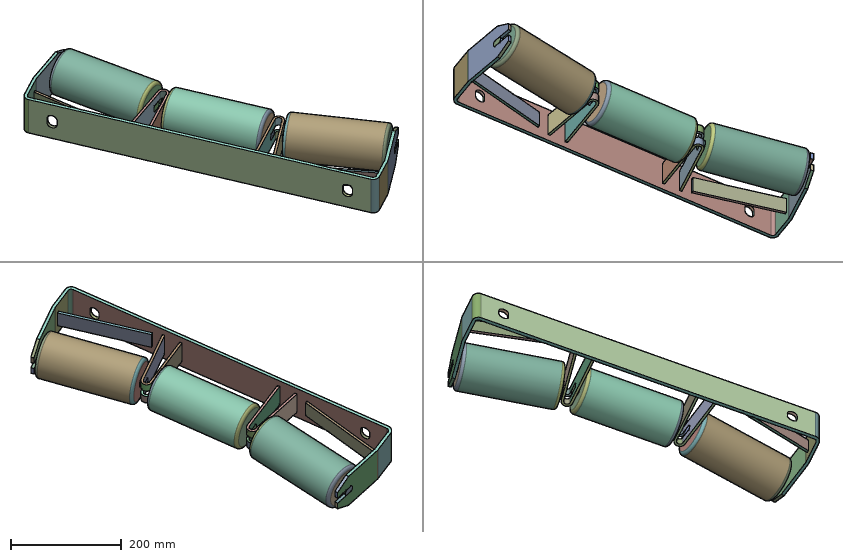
import cadquery as cq
import math

frame_length = 680.0
overall_depth = 179.5
frame_height = 80.0
wall_thickness = 6.0
bend_outer_radius = 12.0
tilt = 10.0

roller_diameter = 89.0
roller_length = 190.0
roller_edge_radius = 6.0
support_gap = 4.8
middle_roller_underside_y = 54.5

shaft_diameter = 20.0
shaft_flat_width = 14.0

bracket_thickness = 5.0
bracket_width = 50.0
arch_radius = 11.0
bracket_top_y = 125.0

end_plate_reach = 32.0
end_chamfer_length = 30.5
end_chamfer_angle = 30.0

brace_thickness = 5.0
brace_width = 35.5
brace_wall_y = 52.0
brace_tip_x = 161.0
brace_tip_y = 11.0

mounting_slot_x = 283.0
mounting_slot_width = 19.0
mounting_slot_height = 28.5

tilt_sin = math.sin(math.radians(tilt))
tilt_cos = math.cos(math.radians(tilt))
tilt_tan = math.tan(math.radians(tilt))

wall_outer_x = frame_length / 2
wall_inner_x = wall_outer_x - wall_thickness
bend_inner_radius = bend_outer_radius - wall_thickness

middle_roller_y = middle_roller_underside_y + roller_diameter / 2

edge_center_along = roller_length / 2 - roller_edge_radius
edge_center_across = roller_diameter / 2 - roller_edge_radius
side_roller_y = (
    overall_depth - roller_edge_radius - edge_center_along * tilt_sin - edge_center_across * tilt_cos
)

support_reach = roller_length / 2 + support_gap

arch_center_x = support_reach + arch_radius
arch_center_y = bracket_top_y - arch_radius
side_roller_x = arch_center_x + (
    support_reach + arch_radius - (side_roller_y - arch_center_y) * tilt_sin
) / tilt_cos


def extrude_about_middle(outline, height):
    """Extrude an outline of the XY plane equally to both sides of Z = 0."""
    return outline.extrude(height / 2, both=True)


def mirrored(body):
    """Copy of a body reflected to the other side of X = 0."""
    return body.mirror("YZ")


def side_roller_point(along, across):
    """XY position of a point given along and across the +X side roller's axis."""
    x = side_roller_x + along * tilt_cos - across * tilt_sin
    y = side_roller_y + along * tilt_sin + across * tilt_cos
    return (x, y)


def place_at_side_roller(body):
    """Tilt a body built along X at the origin and move it to the +X side roller."""
    return body.rotate((0, 0, 0), (0, 0, 1), tilt).translate((side_roller_x, side_roller_y, 0))


def make_round_bar(diameter, start_x, end_x):
    """Round bar along the X axis."""
    return cq.Workplane("YZ", origin=(start_x, 0, 0)).circle(diameter / 2).extrude(end_x - start_x)


def make_flat_shaft(start_x, end_x):
    """Length of shaft along X with flats above and below."""
    flats = (
        cq.Workplane("YZ", origin=(start_x, 0, 0))
        .rect(2 * shaft_diameter, shaft_flat_width)
        .extrude(end_x - start_x)
    )
    return make_round_bar(shaft_diameter, start_x, end_x).intersect(flats)


def make_roller(near_plate, far_plate):
    """Roller along X; its shaft ends flush with the far faces of plates of these thicknesses."""
    shell = make_round_bar(roller_diameter, -roller_length / 2, roller_length / 2)
    shell = shell.faces("<X or >X").edges().fillet(roller_edge_radius)
    round_shaft = make_round_bar(shaft_diameter, -support_reach, support_reach)
    flat_shaft = make_flat_shaft(-support_reach - near_plate, support_reach + far_plate)
    return shell.union(round_shaft).union(flat_shaft)


middle_roller = make_roller(bracket_thickness, bracket_thickness).translate((0, middle_roller_y, 0))
right_roller = place_at_side_roller(make_roller(bracket_thickness, wall_thickness))


def make_shaft_slot(start_x, end_x):
    """Slot along X whose rounded bottom fits a shaft end centred on the X axis."""
    opening = (
        cq.Workplane("YZ", origin=(start_x, 0, 0))
        .center(roller_diameter / 2, 0)
        .rect(roller_diameter, shaft_flat_width)
        .extrude(end_x - start_x)
    )
    return make_flat_shaft(start_x, end_x).union(opening)


def make_half_frame_plate():
    """Bent plate of the +X half, from the middle to the tip of the end plate."""
    plate_outer = support_reach + wall_thickness
    inner_tip = side_roller_point(support_reach, end_plate_reach)
    outer_tip = side_roller_point(plate_outer, end_plate_reach)
    inner_fold_y = inner_tip[1] - (wall_inner_x - inner_tip[0]) / tilt_tan
    outer_fold_y = outer_tip[1] - (wall_outer_x - outer_tip[0]) / tilt_tan

    profile = (
        cq.Workplane("XY")
        .moveTo(0, 0)
        .lineTo(wall_outer_x, 0)
        .lineTo(wall_outer_x, outer_fold_y)
        .lineTo(*outer_tip)
        .lineTo(*inner_tip)
        .lineTo(wall_inner_x, inner_fold_y)
        .lineTo(wall_inner_x, wall_thickness)
        .lineTo(0, wall_thickness)
        .close()
    )
    plate = extrude_about_middle(profile, frame_height)
    bends = [
        (wall_outer_x, 0, bend_outer_radius),
        (wall_inner_x, wall_thickness, bend_inner_radius),
        (wall_outer_x, outer_fold_y, bend_outer_radius),
        (wall_inner_x, inner_fold_y, bend_inner_radius),
    ]
    for x, y, radius in bends:
        plate = plate.edges(cq.selectors.NearestToPointSelector((x, y, 0))).fillet(radius)
    return plate


def make_end_chamfers():
    """Wedges that taper the +X end plate toward its tip, above and below."""
    half_height = frame_height / 2
    drop = end_chamfer_length * math.tan(math.radians(end_chamfer_angle))
    wedge = (
        cq.Workplane("YZ", origin=(support_reach, 0, 0))
        .moveTo(end_plate_reach - end_chamfer_length, half_height)
        .lineTo(end_plate_reach, half_height - drop)
        .lineTo(end_plate_reach, half_height)
        .close()
        .extrude(wall_thickness)
    )
    return place_at_side_roller(wedge.union(wedge.mirror("XY")))


def make_mounting_slot():
    """Upright slot through the +X half of the back plate."""
    return (
        cq.Workplane("XZ")
        .center(mounting_slot_x, 0)
        .slot2D(mounting_slot_height, mounting_slot_width, 90)
        .extrude(-wall_thickness)
    )


def make_frame():
    end_slot = place_at_side_roller(make_shaft_slot(support_reach, support_reach + wall_thickness))
    half = make_half_frame_plate().cut(make_end_chamfers()).cut(end_slot).cut(make_mounting_slot())
    return half.union(mirrored(half))


frame = make_frame()


def make_arch_block(radius):
    """Filled arch of this radius with a straight leg toward the middle and a tilted outer leg."""
    tangent_x = arch_center_x + radius * tilt_cos
    tangent_y = arch_center_y + radius * tilt_sin
    foot_x = tangent_x + (tangent_y - wall_thickness) * tilt_tan
    outline = (
        cq.Workplane("XY")
        .moveTo(arch_center_x - radius, wall_thickness)
        .lineTo(arch_center_x - radius, arch_center_y)
        .threePointArc((arch_center_x, arch_center_y + radius), (tangent_x, tangent_y))
        .lineTo(foot_x, wall_thickness)
        .close()
    )
    return extrude_about_middle(outline, bracket_width)


def make_bracket():
    bracket = make_arch_block(arch_radius).cut(make_arch_block(arch_radius - bracket_thickness))
    straight_slot = make_shaft_slot(support_reach, arch_center_x)
    tilted_slot = make_shaft_slot(-arch_center_x, -support_reach)
    bracket = bracket.cut(straight_slot.translate((0, middle_roller_y, 0)))
    return bracket.cut(place_at_side_roller(tilted_slot))


right_bracket = make_bracket()


def make_brace():
    brace_angle = math.atan2(brace_wall_y - brace_tip_y, wall_inner_x - brace_tip_x)
    upright_thickness = brace_thickness / math.cos(brace_angle)
    lower_tip_y = brace_tip_y - upright_thickness
    foot_x = brace_tip_x + (wall_thickness - lower_tip_y) / math.tan(brace_angle)
    outline = (
        cq.Workplane("XY")
        .moveTo(brace_tip_x, brace_tip_y)
        .lineTo(wall_inner_x, brace_wall_y)
        .lineTo(wall_inner_x, brace_wall_y - upright_thickness)
        .lineTo(foot_x, wall_thickness)
        .lineTo(brace_tip_x, wall_thickness)
        .close()
    )
    return extrude_about_middle(outline, brace_width)


right_brace = make_brace()

bodies = [frame, middle_roller]
for right_body in (right_roller, right_bracket, right_brace):
    bodies.append(right_body)
    bodies.append(mirrored(right_body))

result = cq.Compound.makeCompound([body.solids().val() for body in bodies])